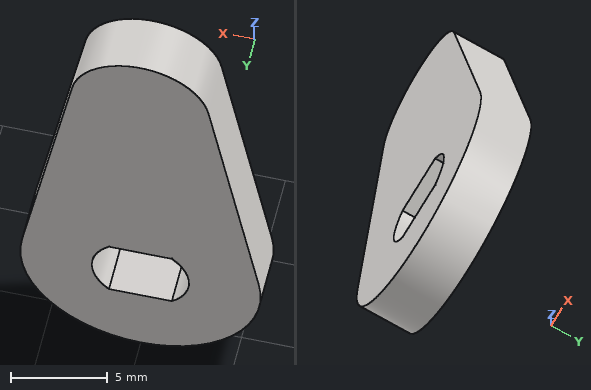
import cadquery as cq
import math

length = 25.5
thickness = 3.0
hub_radius = 6.38
tip_radius = 3.67
bore_diameter = 5.15
bore_across_flats = 3.93

tip_height = length - hub_radius - tip_radius
taper_angle = math.asin((hub_radius - tip_radius) / tip_height)


def tangent_point(radius, center_height):
    """Point where the right-hand tapered side meets a round end."""
    x = radius * math.cos(taper_angle)
    z = center_height + radius * math.sin(taper_angle)
    return x, z


def make_lever():
    """Flat plate with two round ends joined by tangent sides."""
    hub_x, hub_z = tangent_point(hub_radius, 0)
    tip_x, tip_z = tangent_point(tip_radius, tip_height)
    return (
        cq.Workplane("XZ")
        .moveTo(hub_x, hub_z)
        .lineTo(tip_x, tip_z)
        .threePointArc((0, tip_height + tip_radius), (-tip_x, tip_z))
        .lineTo(-hub_x, hub_z)
        .threePointArc((0, -hub_radius), (hub_x, hub_z))
        .close()
        .extrude(thickness / 2, both=True)
    )


def make_bore():
    """Through bore with flats above and below."""
    round_bore = cq.Workplane("XZ").circle(bore_diameter / 2).extrude(thickness / 2, both=True)
    flats = cq.Workplane("XY").box(bore_diameter, thickness, bore_across_flats)
    return round_bore.intersect(flats)


result = make_lever().cut(make_bore())